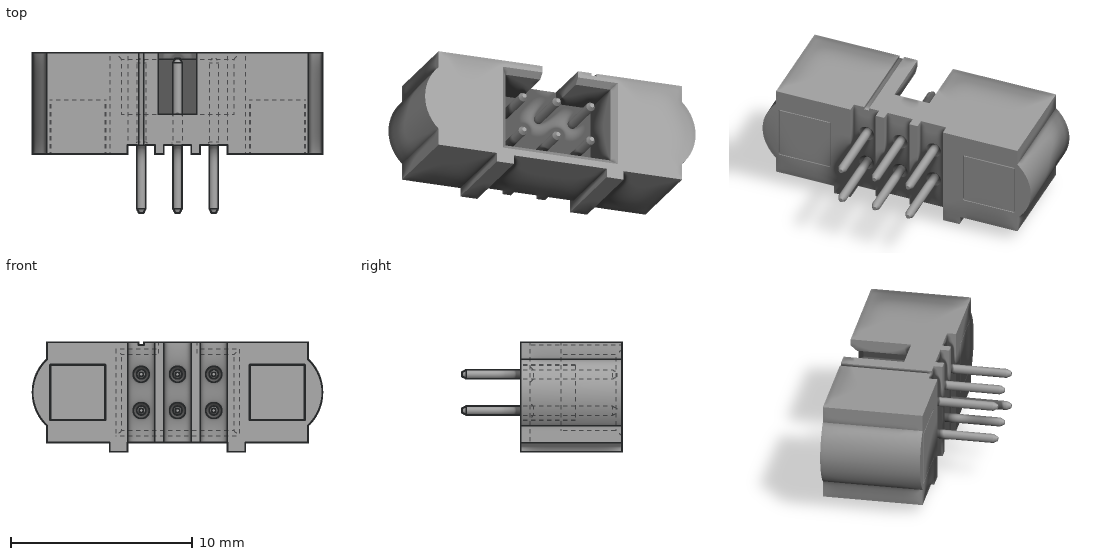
import cadquery as cq

body_width = 14.4
body_depth = 5.6
body_height = 5.55
half_height = body_height / 2
mouth_y = 0.0
rear_y = mouth_y - body_depth

overall_width = 16.0
end_radius = 2.5
end_center_x = overall_width / 2 - end_radius

pitch = 2.0
pin_columns = 3
pin_rows = 2
pin_diameter = 0.5
pin_tip_diameter = 0.24
pin_tip_length = 0.25
pin_setback = 0.3
pin_tail = 3.25
pin_length = body_depth - pin_setback + pin_tail
countersink_diameter = 0.88
countersink_depth = (countersink_diameter - pin_diameter) / 2

wall_thickness = 0.675
cavity_width = 6.2
cavity_height = body_height - 2 * wall_thickness
cavity_depth = 3.4
lead_in_depth = 0.35
lead_in_rise = 0.3
key_slot_width = 2.1

relief_width = 5.5
relief_depth = 0.5
rib_width = 0.5
foot_width = 1.0
foot_height = 0.5

mark_width = 0.3
mark_depth = 0.15

magnet_size = 3.0
magnet_gap = 0.05
pocket_corner_radius = 0.1
pocket_size = magnet_size + 2 * magnet_gap

relief_floor_y = rear_y + relief_depth
pin_front_y = mouth_y - pin_setback
column_xs = [(i - (pin_columns - 1) / 2) * pitch for i in range(pin_columns)]
row_zs = [(i - (pin_rows - 1) / 2) * pitch for i in range(pin_rows)]
pin_spots = [(x, z) for x in column_xs for z in row_zs]
rib_xs = [(a + b) / 2 for a, b in zip(column_xs, column_xs[1:])]
magnet_xs = [-end_center_x, end_center_x]


def box_between(x_range, y_range, z_range):
    """Axis-aligned box spanning the given (low, high) ranges."""
    sizes = [high - low for low, high in (x_range, y_range, z_range)]
    corner = (x_range[0], y_range[0], z_range[0])
    return cq.Workplane("XY").box(*sizes, centered=False).translate(corner)


def centered(middle, size):
    """Range of the given size around a middle value."""
    return (middle - size / 2, middle + size / 2)


def plane_facing_mouth(y):
    """XZ sketch plane at y whose extrusions run toward +Y (local x is -X)."""
    return cq.Workplane(cq.Plane(origin=(0, y, 0), xDir=(-1, 0, 0), normal=(0, 1, 0)))


def make_block():
    """Solid block with its rounded ends and two feet."""
    full_y = (rear_y, mouth_y)
    block = box_between(centered(0, body_width), full_y, centered(0, body_height))
    for x in magnet_xs:
        rounded_end = cq.Workplane("XY").circle(end_radius).extrude(body_depth)
        rounded_end = rounded_end.rotate((0, 0, 0), (1, 0, 0), 90)
        block = block.union(rounded_end.translate((x, mouth_y, 0)))
    for side in (-1, 1):
        foot_x = side * (relief_width + foot_width) / 2
        foot_z = (-half_height - foot_height, -half_height)
        block = block.union(box_between(centered(foot_x, foot_width), full_y, foot_z))
    return block


def make_relief():
    relief_y = (rear_y, relief_floor_y)
    full_z = centered(0, body_height)
    relief = box_between(centered(0, relief_width), relief_y, full_z)
    for x in rib_xs:
        relief = relief.cut(box_between(centered(x, rib_width), relief_y, full_z))
    return relief


def make_cavity():
    """Mating cavity with a lead-in at the mouth, plus the keying slot through the top wall."""
    cavity_floor_y = mouth_y - cavity_depth
    cavity = plane_facing_mouth(cavity_floor_y).rect(cavity_width, cavity_height).extrude(cavity_depth)
    lead_in = (
        plane_facing_mouth(mouth_y - lead_in_depth)
        .rect(cavity_width, cavity_height)
        .workplane(offset=lead_in_depth)
        .rect(cavity_width + 2 * lead_in_rise, cavity_height + 2 * lead_in_rise)
        .loft(ruled=True)
    )
    key_slot = box_between(centered(0, key_slot_width), (cavity_floor_y, mouth_y), (0, half_height))
    return cavity.union(lead_in).union(key_slot)


def make_pin_mark():
    mark_z = (half_height - mark_depth, half_height)
    return box_between(centered(column_xs[0], mark_width), (rear_y, mouth_y), mark_z)


def make_pin_hole(x, z):
    """Pin bore countersunk from the relief floor; built around the Y axis as a revolve."""
    bore_end_y = mouth_y - cavity_depth
    hole = (
        cq.Workplane("XY")
        .moveTo(0, relief_floor_y)
        .lineTo(countersink_diameter / 2, relief_floor_y)
        .lineTo(pin_diameter / 2, relief_floor_y + countersink_depth)
        .lineTo(pin_diameter / 2, bore_end_y)
        .lineTo(0, bore_end_y)
        .close()
        .revolve(360, (0, 0), (0, 1))
    )
    return hole.translate((x, 0, z))


def make_rear_prism(x, size):
    """Square prism, as deep as the magnet, running from the rear face into the block."""
    return box_between(centered(x, size), (rear_y, rear_y + magnet_size), centered(0, size))


def make_housing():
    housing = make_block().cut(make_relief()).cut(make_cavity()).cut(make_pin_mark())
    for x, z in pin_spots:
        housing = housing.cut(make_pin_hole(x, z))
    for x in magnet_xs:
        pocket = make_rear_prism(x, pocket_size).edges("|Y").fillet(pocket_corner_radius)
        housing = housing.cut(pocket)
    return housing


def make_pin(x, z):
    """Round pin along Y, tapered at both ends."""
    tail_y = pin_front_y - pin_length
    pin = (
        cq.Workplane("XY")
        .moveTo(0, tail_y)
        .lineTo(pin_tip_diameter / 2, tail_y)
        .lineTo(pin_diameter / 2, tail_y + pin_tip_length)
        .lineTo(pin_diameter / 2, pin_front_y - pin_tip_length)
        .lineTo(pin_tip_diameter / 2, pin_front_y)
        .lineTo(0, pin_front_y)
        .close()
        .revolve(360, (0, 0), (0, 1))
    )
    return pin.translate((x, 0, z))


def make_magnet(x):
    return make_rear_prism(x, magnet_size)


housing = make_housing()
pins = [make_pin(x, z) for x, z in pin_spots]
magnets = [make_magnet(x) for x in magnet_xs]

result = cq.Compound.makeCompound(
    [
        housing.val(),
        *[pin.val() for pin in pins],
        *[magnet.val() for magnet in magnets],
    ]
)